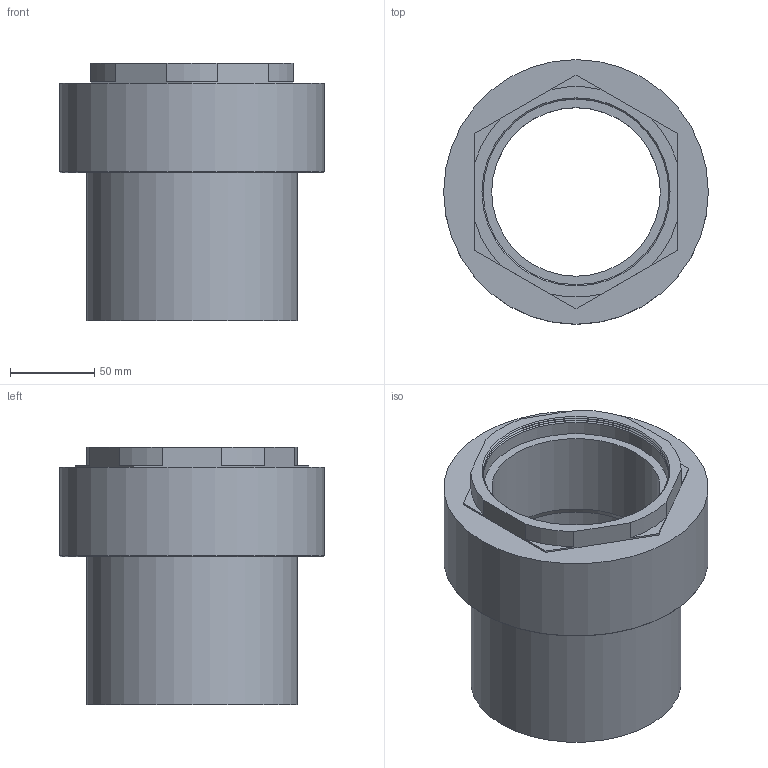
import cadquery as cq
import math

total_height = 153.0
collar_bottom = 88.0
collar_top = 141.0
flange_thickness = 1.0
flange_top = collar_top + flange_thickness

spigot_radius = 62.5
collar_radius = 78.5
collar_edge_chamfer = 0.5
hex_across_flats = 120.0
hex_half_angle = 30.0
hex_corner_diameter = hex_across_flats / math.cos(math.radians(hex_half_angle))
head_radius = 62.5

bore_radius = 50.0
bore_bottom = 90.0
relief_widening = 1.0
relief_cone_height = 3.0
relief_radius = bore_radius + relief_widening
relief_top = bore_bottom - relief_cone_height
socket_radius = 55.05
socket_floor = collar_top

groove_depth = 0.75
groove_pitch = 2 * groove_depth
groove_count = 3


def cylinder(radius, bottom, top):
    """Solid disc on the Z axis between two heights."""
    return cq.Workplane("XY").workplane(offset=bottom).circle(radius).extrude(top - bottom)


def hexagon(bottom, top):
    """Hexagonal prism with flats facing +X and -X."""
    return (
        cq.Workplane("XY")
        .workplane(offset=bottom)
        .transformed(rotate=(0, 0, hex_half_angle))
        .polygon(6, hex_corner_diameter)
        .extrude(top - bottom)
    )


def body():
    """Spigot, collar, thin hexagonal flange and a hexagonal head with rounded corners."""
    spigot = cylinder(spigot_radius, 0, collar_bottom)
    collar = cylinder(collar_radius, collar_bottom, collar_top)
    collar = collar.faces("<Z").chamfer(collar_edge_chamfer)
    flange = hexagon(collar_top, flange_top)
    head_round = cylinder(head_radius, flange_top, total_height)
    head = hexagon(flange_top, total_height).intersect(head_round)
    return spigot.union(collar).union(flange).union(head)


def groove_outline():
    """Zigzag points from the mouth down; the topmost groove is cut in half by the top face."""
    points = []
    for index in range(groove_count):
        root_height = total_height - index * groove_pitch
        points.append((socket_radius + groove_depth, root_height))
        points.append((socket_radius, root_height - groove_depth))
    return points


def passage():
    """Revolved void: wide lower bore, cone, narrow bore, socket and ring grooves."""
    outline = [
        (0, total_height),
        *groove_outline(),
        (socket_radius, socket_floor),
        (bore_radius, socket_floor),
        (bore_radius, bore_bottom),
        (relief_radius, relief_top),
        (relief_radius, 0),
        (0, 0),
    ]
    return cq.Workplane("XZ").polyline(outline).close().revolve(360, (0, 0, 0), (0, 1, 0))


result = body().cut(passage())